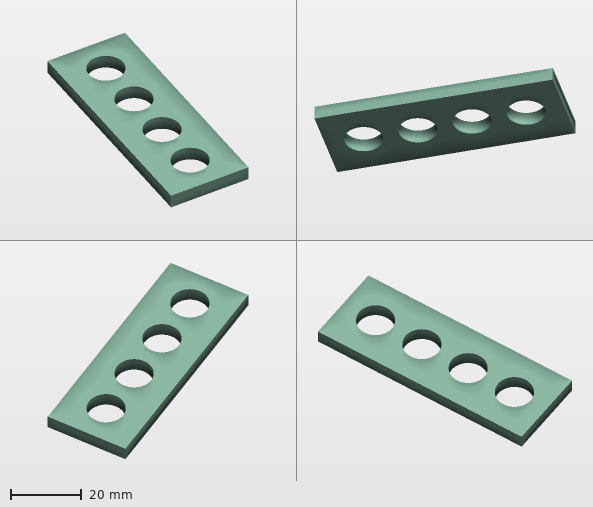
import cadquery as cq

length = 69.85
width = 25.4
thickness = 4.25

hole_count = 4
hole_diameter = 11.11
hole_pitch = 15.875


def make_plate():
    """Flat rectangular plate, centred on X and Y, resting on Z = 0."""
    return cq.Workplane("XY").box(length, width, thickness, centered=(True, True, False))


def cut_hole_row(plate):
    """Cut the row of through holes along the plate's long centreline."""
    return (
        plate.faces(">Z")
        .workplane(origin=(0, 0, thickness))
        .rarray(hole_pitch, width, hole_count, 1)
        .hole(hole_diameter)
    )


result = cut_hole_row(make_plate())